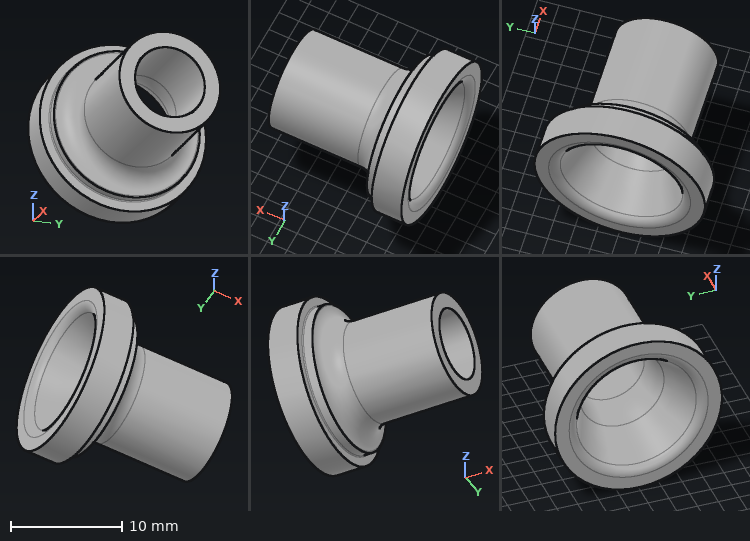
import cadquery as cq
import math

total_length = 15.0
flange_radius = 16 / 2
flange_length = 3.0
step_radius = 14.02 / 2
step_corner_fillet = 0.1
step_end = 4.0
tube_radius = 9.7 / 2
neck_fillet = 2.0

bore_radius = 6.7 / 2
mouth_radius = 6.65
mouth_fillet = 1.0
throat_fillet = 8.0
cone_angle = math.radians(24)


def arc_point(center, radius, angle):
    """Point on an arc, with the angle measured from the direction facing the axis toward -X."""
    return (center[0] - radius * math.sin(angle), center[1] - radius * math.cos(angle))


mouth_center = (mouth_fillet, mouth_radius)
mouth_middle = arc_point(mouth_center, mouth_fillet, (cone_angle + math.pi / 2) / 2)
cone_start = arc_point(mouth_center, mouth_fillet, cone_angle)

cone_end_radius = bore_radius + throat_fillet * (1 - math.cos(cone_angle))
cone_end_x = cone_start[0] + (cone_start[1] - cone_end_radius) / math.tan(cone_angle)
throat_center = (cone_end_x + throat_fillet * math.sin(cone_angle), bore_radius + throat_fillet)
throat_middle = arc_point(throat_center, throat_fillet, cone_angle / 2)

neck_center = (step_end + neck_fillet, tube_radius + neck_fillet)
neck_middle = arc_point(neck_center, neck_fillet, math.pi / 4)

corner_center = (flange_length + step_corner_fillet, step_radius + step_corner_fillet)
corner_middle = arc_point(corner_center, step_corner_fillet, math.pi / 4)

profile = (
    cq.Workplane("XY")
    .moveTo(0, mouth_radius)
    .lineTo(0, flange_radius)
    .lineTo(flange_length, flange_radius)
    .lineTo(flange_length, corner_center[1])
    .threePointArc(corner_middle, (corner_center[0], step_radius))
    .lineTo(step_end, step_radius)
    .lineTo(step_end, neck_center[1])
    .threePointArc(neck_middle, (neck_center[0], tube_radius))
    .lineTo(total_length, tube_radius)
    .lineTo(total_length, bore_radius)
    .lineTo(throat_center[0], bore_radius)
    .threePointArc(throat_middle, (cone_end_x, cone_end_radius))
    .lineTo(*cone_start)
    .threePointArc(mouth_middle, (0, mouth_radius))
    .close()
)

result = profile.revolve(360, (0, 0, 0), (1, 0, 0))